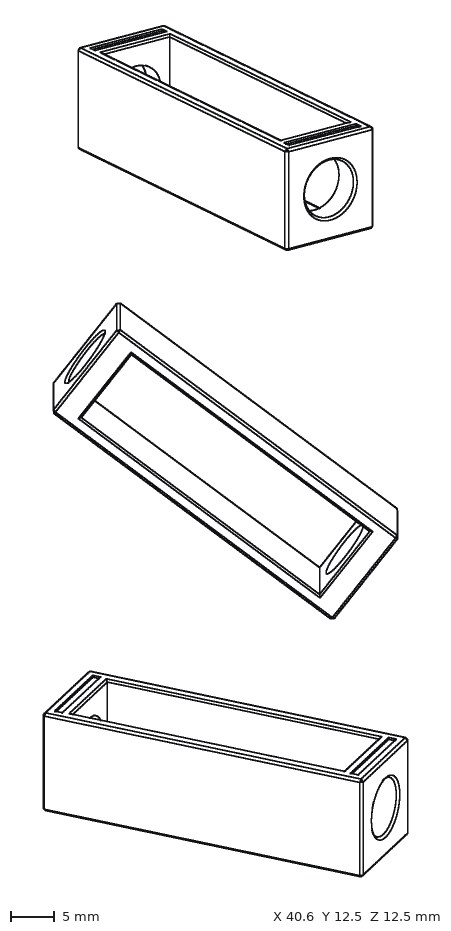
import cadquery as cq

length = 40.6
width = 12.5
height = 12.5
edge_chamfer = 0.3

end_wall = 3.1
side_wall = 1.55
window_chamfer = 0.25

hole_diameter = 7.0
hole_chamfer = 0.3

recess_width = 0.97
recess_length = 10.25
recess_depth = 0.25
recess_offset = 1.55

window_length = length - 2 * end_wall
window_width = width - 2 * side_wall


def make_block():
    """Block centred on the origin, with every outer edge chamfered."""
    return cq.Workplane("XY").box(length, width, height).edges().chamfer(edge_chamfer)


def make_window():
    """Cutter for the window, flared at the top and bottom rims."""
    opening = cq.Workplane("XY").box(window_length, window_width, height)
    for side in (1, -1):
        flare = (
            cq.Workplane("XY", origin=(0, 0, side * height / 2))
            .rect(window_length + 2 * window_chamfer, window_width + 2 * window_chamfer)
            .workplane(offset=-side * window_chamfer)
            .rect(window_length, window_width)
            .loft()
        )
        opening = opening.union(flare)
    return opening


def make_end_holes():
    """Cutter for the coaxial end holes, flared at the outer faces."""
    radius = hole_diameter / 2
    half_length = length / 2
    return (
        cq.Workplane("XY")
        .moveTo(-half_length, 0)
        .lineTo(-half_length, radius + hole_chamfer)
        .lineTo(-half_length + hole_chamfer, radius)
        .lineTo(half_length - hole_chamfer, radius)
        .lineTo(half_length, radius + hole_chamfer)
        .lineTo(half_length, 0)
        .close()
        .revolve(360, (0, 0, 0), (1, 0, 0))
    )


def make_recesses():
    """Cutter for the label recesses, one on each end wall."""
    recess_x = length / 2 - recess_offset
    return (
        cq.Workplane("XY", origin=(0, 0, height / 2))
        .pushPoints([(-recess_x, 0), (recess_x, 0)])
        .rect(recess_width, recess_length)
        .extrude(-recess_depth)
    )


result = make_block().cut(make_window()).cut(make_end_holes()).cut(make_recesses())